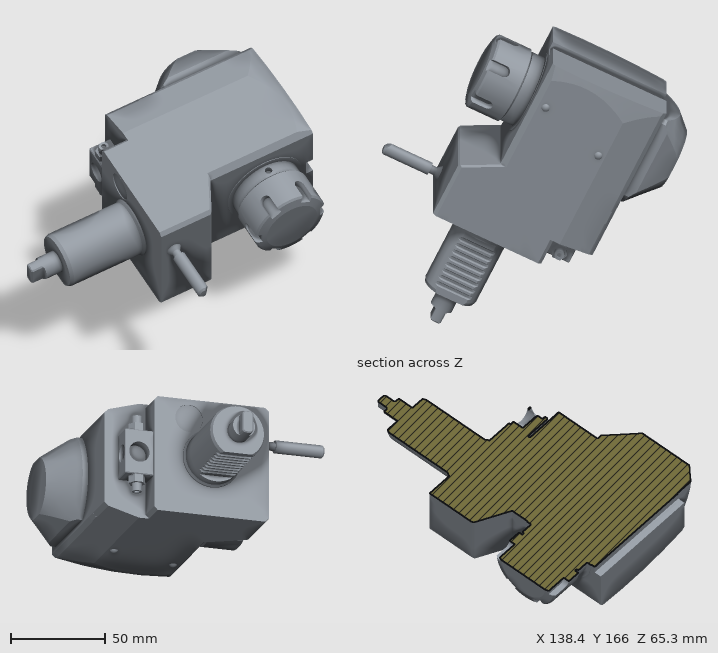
import cadquery as cq
import math


half_height = 32.0
block_half_width = 32.0
housing_left = -55.1
housing_right = 12.1
housing_front = 14.8
body_rear = 103.6
step_start = 41.0
step_end = 30.7
step_corner = 0.8
step_chamfer = 1.0
taper_start_x = -35.7
taper_end_x = -52.8
taper_end_z = 27.2
left_face_half_height = 25.0
block_chamfer = 2.0
spindle_side_chamfer = 3.2
pad_front = 34.0
pad_rear = 41.2
pad_height = 0.5
rear_slot_half_width = 5.0
rear_slot_depth = 4.3

relief_radius = 219.1
relief_slope = 5.4
relief_x = -9.0
relief_drop = 0.75

spindle_y = 74.4
cap_end = -73.5
cap_base_radius = 32.2
cap_base_thickness = 3.0
cap_half_height = 23.0
cap_end_half_height = 16.0
cap_flat_end = -60.8
cap_rear = 99.0

flange_radius = 22.7
flange_end = 12.5
collar_radius = 20.0
collar_end = 19.6
neck_radius = 18.8
nut_start = 20.6
nut_radius = 21.0
nut_end = 39.8
nut_chamfer = 1.0
nose_radius = 15.3
nose_end = 41.2
nut_slot_count = 6
nut_slot_width = 6.3
nut_slot_start = 28.4
nut_slot_floor = 17.5
collar_hole_x = 16.0
collar_hole_radius = 2.0
collar_hole_depth = 3.3

shank_radius = 15.1
shank_length = 45.5
shank_chamfer = 0.8
shank_chamfer_length = 2.0
shank_flange_radius = 16.1
shank_flange_rim = 0.8
shank_flange_length = 2.0
rack_start = 7.5
rack_flat_z = -12.1
tooth_depth = 1.3
tooth_pitch = 4.0
tooth_count = 8
first_tooth = 12.3
tooth_root_half_width = 0.7
tooth_mouth_half_width = 1.3
drive_radius = 6.1
drive_length = 9.6
tang_half_width = 3.0
tang_length = 7.3
tang_root = 0.7
tang_side_chamfer = 1.2
tang_chamfer = 0.7

coolant_left = -48.0
coolant_half_height = 12.5
coolant_front = 1.0
coolant_rear = 13.6
coolant_chamfer = 0.5
port_x = -40.0
port_y = 6.6
front_port_radius = 5.6
front_port_depth = 6.6
side_port_radius = 4.8
side_port_depth = 2.0
drill_radius = 1.3
drill_depth = 1.7
screw_y = 5.5
nut_circle_diameter = 9.1
hex_sides = 6
hex_height = 4.2
screw_radius = 2.7
screw_end = 21.0
socket_diameter = 3.0
socket_depth = 1.7

pin_y = 7.8
pin_z = 13.6
pin_base_radius = 4.2
pin_base_length = 2.3
pin_neck_radius = 2.3
pin_start = 37.7
pin_radius = 3.5
pin_end = 64.9
pin_chamfer = 1.0
pin_bevel = 3.0

recess_x = -12.6
recess_z = 21.4
recess_radius = 7.6
recess_depth = 0.5
dome_places = [(-32.0, 68.5), (5.0, 80.5)]
dome_radius = 2.2
dome_height = 1.3


def box(x0, x1, y0, y1, z0, z1):
    return cq.Workplane("XY").box(x1 - x0, y1 - y0, z1 - z0, centered=False).translate((x0, y0, z0))


def turned_about_x(points, y, z):
    """Solid of revolution about a line parallel to X; points are (x, radius)."""
    profile = cq.Workplane("XY").polyline([(points[0][0], 0)] + points + [(points[-1][0], 0)]).close()
    return profile.revolve(360, (0, 0, 0), (1, 0, 0)).translate((0, y, z))


def turned_about_y(points, x, z):
    """Solid of revolution about a line parallel to Y; points are (radius, y)."""
    profile = cq.Workplane("XY").polyline([(0, points[0][1])] + points + [(0, points[-1][1])]).close()
    return profile.revolve(360, (0, 0, 0), (0, 1, 0)).translate((x, 0, z))


def make_housing():
    """Bevelled housing whose rear edges follow two shallow cones about lines parallel to Y."""
    upper = [
        (housing_left, left_face_half_height),
        (taper_end_x, taper_end_z),
        (taper_start_x, half_height),
        (housing_right - spindle_side_chamfer, half_height),
        (housing_right, half_height - spindle_side_chamfer),
    ]
    lower = [(x, -z) for x, z in reversed(upper)]
    housing = (
        cq.Workplane("XZ", origin=(0, body_rear, 0))
        .polyline(upper + lower)
        .close()
        .extrude(body_rear - housing_front)
    )
    rear_radius = relief_radius - relief_drop
    front_radius = rear_radius + body_rear / relief_slope
    for side in (1, -1):
        axis_z = side * (half_height - relief_radius)
        housing = housing.intersect(
            turned_about_y([(front_radius, 0), (rear_radius, body_rear)], relief_x, axis_z)
        )
    return housing


def make_pad():
    """Small raised pad on the bevel of the left face."""
    taper_slope = (half_height - taper_end_z) / (taper_start_x - taper_end_x)
    return (
        cq.Workplane("XZ", origin=(0, pad_rear, 0))
        .polyline([
            (housing_left, left_face_half_height),
            (taper_end_x - pad_height, taper_end_z - pad_height * taper_slope),
            (taper_end_x, taper_end_z),
        ])
        .close()
        .extrude(pad_rear - pad_front)
    )


def make_block():
    step_slope = (step_start - step_end) / (block_half_width - housing_right)
    outline = [
        (-block_half_width, 0),
        (block_half_width, 0),
        (block_half_width, step_end - step_corner),
        (block_half_width - step_corner, step_end + step_corner * step_slope),
        (housing_right, step_start),
        (-block_half_width, step_start),
    ]
    block = (
        cq.Workplane("XY", origin=(0, 0, -half_height))
        .polyline(outline)
        .close()
        .extrude(2 * half_height)
    )
    section = (
        cq.Workplane("XZ", origin=(0, step_start, 0))
        .rect(2 * block_half_width, 2 * half_height)
        .extrude(step_start)
        .edges("|Y")
        .chamfer(block_chamfer)
    )
    block = block.intersect(section)
    step_middle = ((block_half_width + housing_right) / 2, (step_start + step_end) / 2)
    for side in (1, -1):
        edge = cq.selectors.NearestToPointSelector((*step_middle, side * half_height))
        block = block.edges(edge).chamfer(step_chamfer)
    return block


def make_cap():
    cap = turned_about_x(
        [
            (cap_end, cap_base_radius - (housing_left - cap_base_thickness - cap_end)),
            (housing_left - cap_base_thickness, cap_base_radius),
            (housing_left, cap_base_radius),
        ],
        spindle_y,
        0,
    )
    upper = [
        (cap_end, cap_end_half_height),
        (cap_flat_end, cap_half_height),
        (housing_left, cap_half_height),
    ]
    lower = [(x, -z) for x, z in reversed(upper)]
    envelope = (
        cq.Workplane("XZ", origin=(0, cap_rear, 0))
        .polyline(upper + lower)
        .close()
        .extrude(2 * cap_base_radius)
    )
    return cap.intersect(envelope)


def make_collet_nut():
    nut = turned_about_x(
        [
            (housing_right, flange_radius),
            (flange_end, flange_radius),
            (flange_end, collar_radius),
            (collar_end, collar_radius),
            (collar_end, neck_radius),
            (nut_start, neck_radius),
            (nut_start, nut_radius),
            (nut_end - nut_chamfer, nut_radius),
            (nut_end, nut_radius - nut_chamfer),
            (nose_end, nose_radius),
        ],
        spindle_y,
        0,
    )
    end_radius = nut_slot_width / 2
    slot_centre = nut_slot_start + end_radius
    slot = (
        cq.Workplane("XY", origin=(slot_centre, spindle_y, nut_slot_floor))
        .circle(end_radius)
        .extrude(nut_radius)
    )
    slot = slot.union(
        box(
            slot_centre, nose_end,
            spindle_y - end_radius, spindle_y + end_radius,
            nut_slot_floor, nut_slot_floor + nut_radius,
        )
    )
    step = 360 / nut_slot_count
    for i in range(nut_slot_count):
        angle = (i + 0.5) * step
        nut = nut.cut(slot.rotate((0, spindle_y, 0), (1, spindle_y, 0), angle))
    hole = (
        cq.Workplane("XY", origin=(collar_hole_x, spindle_y, collar_radius - collar_hole_depth))
        .circle(collar_hole_radius)
        .extrude(2 * collar_hole_depth)
    )
    return nut.cut(hole)


def make_tang():
    """Flat driving tang that widens at its root, held within the drive diameter."""
    root_y = -shank_length - drive_length
    tip_y = root_y - tang_length
    blade = (
        box(-tang_half_width, tang_half_width, tip_y, root_y, -drive_radius, drive_radius)
        .edges("|Y")
        .chamfer(tang_side_chamfer)
        .faces("<Y")
        .edges()
        .chamfer(tang_chamfer)
    )
    root_half_width = tang_half_width + tang_root
    root = (
        cq.Workplane("XY", origin=(0, 0, -drive_radius))
        .polyline([
            (-root_half_width, root_y),
            (-tang_half_width, root_y - tang_root),
            (tang_half_width, root_y - tang_root),
            (root_half_width, root_y),
        ])
        .close()
        .extrude(2 * drive_radius)
    )
    envelope = turned_about_y([(drive_radius, tip_y), (drive_radius, root_y)], 0, 0)
    return blade.union(root).intersect(envelope)


def make_shank():
    shank = turned_about_y(
        [
            (shank_flange_radius, 0),
            (shank_flange_radius, -shank_flange_rim),
            (shank_radius, -shank_flange_length),
            (shank_radius, shank_chamfer_length - shank_length),
            (shank_radius - shank_chamfer, -shank_length),
            (drive_radius, -shank_length),
            (drive_radius, -shank_length - drive_length),
        ],
        0,
        0,
    )
    shank = shank.union(make_tang())
    shank = shank.cut(
        box(-shank_radius, shank_radius, -shank_length, -rack_start, -shank_radius, rack_flat_z)
    )
    root_z = rack_flat_z + tooth_depth
    for i in range(tooth_count):
        y = -first_tooth - i * tooth_pitch
        gap = (
            cq.Workplane("YZ", origin=(-shank_radius, 0, 0))
            .polyline([
                (y - tooth_mouth_half_width, rack_flat_z),
                (y - tooth_root_half_width, root_z),
                (y + tooth_root_half_width, root_z),
                (y + tooth_mouth_half_width, rack_flat_z),
            ])
            .close()
            .extrude(2 * shank_radius)
        )
        shank = shank.cut(gap)
    return shank


def make_coolant_block():
    block = box(
        coolant_left, -block_half_width,
        coolant_front, coolant_rear,
        -coolant_half_height, coolant_half_height,
    ).faces("<X or <Y").edges().chamfer(coolant_chamfer)
    front_port = (
        cq.Workplane("XZ", origin=(port_x, coolant_front, 0))
        .circle(front_port_radius)
        .extrude(-front_port_depth)
    )
    side_port = (
        cq.Workplane("YZ", origin=(coolant_left, port_y, 0))
        .circle(side_port_radius)
        .extrude(side_port_depth)
        .faces(">X")
        .workplane()
        .circle(drill_radius)
        .extrude(drill_depth)
    )
    block = block.cut(front_port).cut(side_port)
    fitting = (
        cq.Workplane("XY")
        .polygon(hex_sides, nut_circle_diameter)
        .extrude(hex_height)
        .faces(">Z")
        .workplane()
        .circle(screw_radius)
        .extrude(screw_end - coolant_half_height - hex_height)
        .faces(">Z")
        .workplane()
        .polygon(hex_sides, socket_diameter)
        .cutBlind(-socket_depth)
        .translate((port_x, screw_y, coolant_half_height))
    )
    return block.union(fitting).union(fitting.mirror("XY"))


def make_pin():
    base_end = block_half_width + pin_base_length
    pin = turned_about_x(
        [
            (block_half_width, pin_base_radius),
            (base_end, pin_neck_radius),
            (pin_start, pin_neck_radius),
            (pin_start, pin_radius),
            (pin_end - pin_chamfer, pin_radius),
            (pin_end, pin_radius - pin_chamfer),
        ],
        pin_y,
        pin_z,
    )
    bevel = (
        cq.Workplane("XY", origin=(pin_end, pin_y + pin_radius, 0))
        .polyline([(-pin_bevel, 0), (0, 0), (0, -pin_bevel)])
        .close()
        .extrude(half_height)
    )
    return pin.cut(bevel)


def make_dome(x, y):
    """Spherical screw head standing out of the underside."""
    sphere_radius = (dome_radius**2 + dome_height**2) / (2 * dome_height)
    centre_z = sphere_radius - dome_height
    middle_angle = math.asin(dome_radius / sphere_radius) / 2
    arc_middle = (
        sphere_radius * math.sin(middle_angle),
        centre_z - sphere_radius * math.cos(middle_angle),
    )
    dome = (
        cq.Workplane("XZ")
        .moveTo(0, 0)
        .lineTo(dome_radius, 0)
        .threePointArc(arc_middle, (0, -dome_height))
        .close()
        .revolve(360, (0, 0, 0), (0, 1, 0))
    )
    return dome.translate((x, y, -half_height))


body = make_housing().union(make_block())
pad = make_pad()
body = body.union(pad).union(pad.mirror("XY"))
body = body.cut(
    box(
        housing_left, housing_right,
        body_rear - rear_slot_depth, body_rear,
        -rear_slot_half_width, rear_slot_half_width,
    )
)
recess = (
    cq.Workplane("XZ", origin=(recess_x, 0, recess_z))
    .circle(recess_radius)
    .extrude(-recess_depth)
)
body = body.cut(recess)

result = body.union(make_cap()).union(make_collet_nut()).union(make_shank())
result = result.union(make_coolant_block()).union(make_pin())
for dome_x, dome_y in dome_places:
    result = result.union(make_dome(dome_x, dome_y))